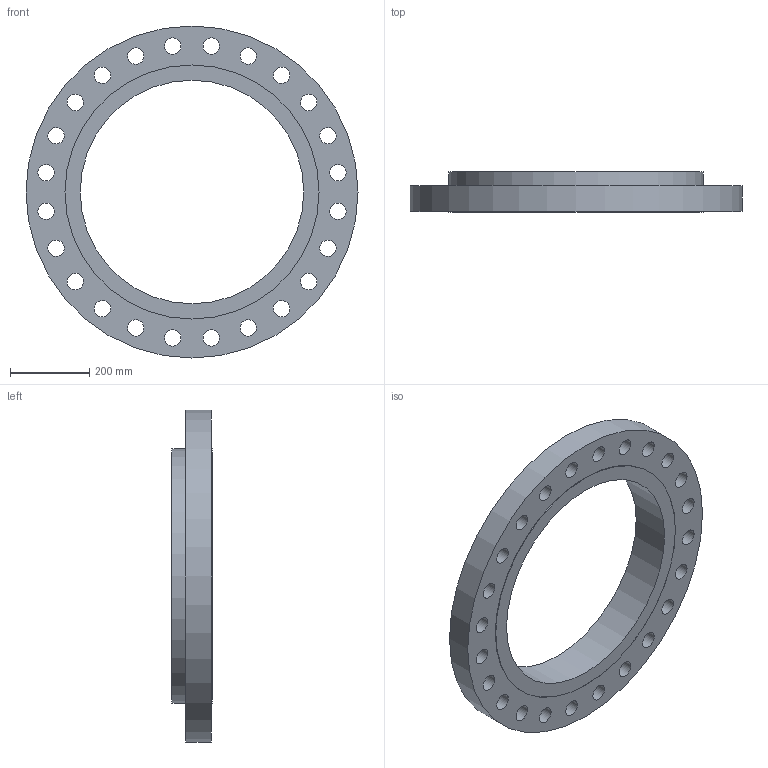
import cadquery as cq

FLANGE_DIAMETER = 838.2
HUB_DIAMETER = 641.35
RAISED_FACE_DIAMETER = HUB_DIAMETER
BORE_DIAMETER = 564.39

TOTAL_LENGTH = 101.41
RAISED_FACE_HEIGHT = 1.6
FLANGE_THICKNESS = 65.2
HUB_LENGTH = TOTAL_LENGTH - RAISED_FACE_HEIGHT - FLANGE_THICKNESS

BOLT_COUNT = 24
BOLT_HOLE_DIAMETER = 41.4
BOLT_CIRCLE_DIAMETER = 742.95
BOLT_PITCH_ANGLE = 360 / BOLT_COUNT

FLANGE_START = RAISED_FACE_HEIGHT
HUB_START = FLANGE_START + FLANGE_THICKNESS


def disc(diameter, start, length):
    """Solid disc on the Y axis, running from start towards +Y."""
    return cq.Workplane("XZ", origin=(0, start, 0)).circle(diameter / 2).extrude(-length)


def flange_body():
    """Raised face, bolting flange and rear hub stacked along Y."""
    raised_face = disc(RAISED_FACE_DIAMETER, 0, RAISED_FACE_HEIGHT)
    flange = disc(FLANGE_DIAMETER, FLANGE_START, FLANGE_THICKNESS)
    hub = disc(HUB_DIAMETER, HUB_START, HUB_LENGTH)
    return raised_face.union(flange).union(hub)


def bolt_holes():
    """Through holes on the bolt circle, straddling the X and Z axes."""
    return (
        cq.Workplane("XZ")
        .polarArray(BOLT_CIRCLE_DIAMETER / 2, BOLT_PITCH_ANGLE / 2, 360, BOLT_COUNT)
        .circle(BOLT_HOLE_DIAMETER / 2)
        .extrude(-TOTAL_LENGTH)
    )


bore = disc(BORE_DIAMETER, 0, TOTAL_LENGTH)

result = flange_body().cut(bore).cut(bolt_holes())